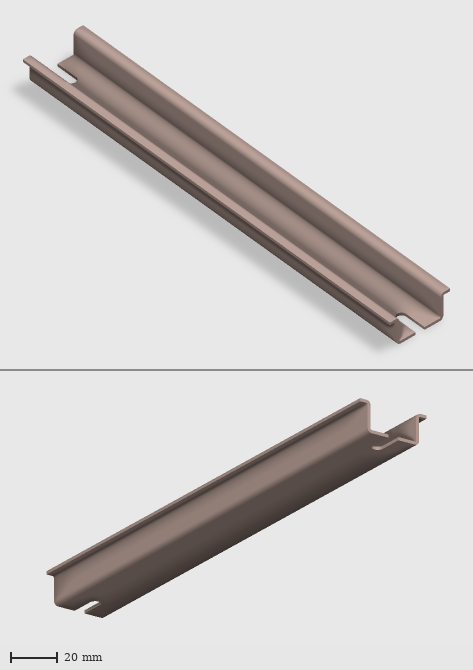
import cadquery as cq

length = 239.0
width = 35.0
height = 15.0

thickness = 1.5
channel_width = 27.0
inner_bend_radius = 0.7
outer_bend_radius = inner_bend_radius + thickness

slot_width = 5.3
slot_depth = 14.5

inner_width = channel_width - 2 * thickness


def box_on_base(size_y, size_z, base_z):
    """Full-length bar centred on Y, standing on base_z."""
    bar = cq.Workplane("XY").box(length, size_y, size_z, centered=(True, True, False))
    return bar.translate((0, 0, base_z))


def sharp_profile():
    """Top-hat section with square corners, extruded along X."""
    channel = box_on_base(channel_width, height, 0)
    flanges = box_on_base(width, thickness, height - thickness)
    hollow = box_on_base(inner_width, height, thickness)
    return channel.union(flanges).cut(hollow)


def round_bends(rail):
    """Round both sides of every bend with concentric radii."""
    bends = (
        (channel_width / 2, 0, outer_bend_radius),
        (inner_width / 2, thickness, inner_bend_radius),
        (inner_width / 2, height, outer_bend_radius),
        (channel_width / 2, height - thickness, inner_bend_radius),
    )
    for half_width, z, radius in bends:
        for side in (-1, 1):
            corner = cq.selectors.NearestToPointSelector((0, side * half_width, z))
            rail = rail.edges("|X").edges(corner).fillet(radius)
    return rail


def end_slots():
    """Cutters for the round-bottomed slots open at both ends."""
    return (
        cq.Workplane("XY")
        .pushPoints([(-length / 2, 0), (length / 2, 0)])
        .slot2D(2 * slot_depth, slot_width)
        .extrude(thickness)
    )


result = round_bends(sharp_profile()).cut(end_slots())